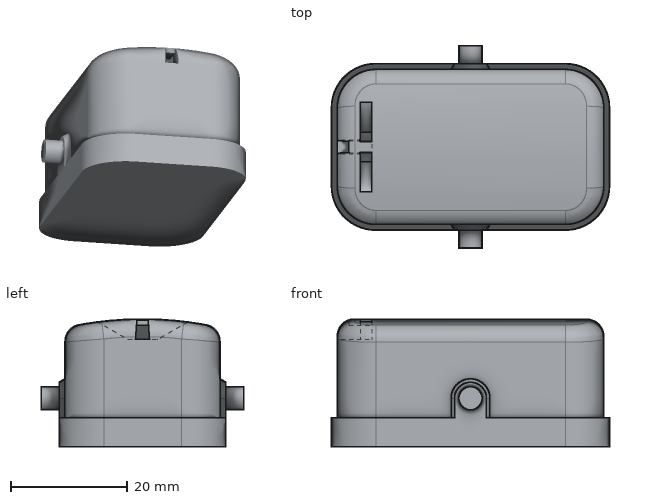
import cadquery as cq
import math

base_length = 47.9
base_width = 28.7
base_height = 5.0

ledge = 1.0
body_length = base_length - 2 * ledge
body_width = base_width - 2 * ledge
body_corner_radius = 6.65
base_corner_radius = body_corner_radius + ledge
body_height = 22.0
crown_radius = 60.0
top_fillet = 3.0

pin_diameter = 4.0
pin_span = 34.9
pin_height = 8.35
pad_root_radius = 3.35
pad_face_radius = 2.75

passage_floor = 18.5
passage_roof = 20.95
slot_outer_x = -19.0
slot_width = 2.0
slot_near_y = 1.0
slot_wall_draft = 4.0
slot_far_y = 7.72
ramp_angle = 30.0

mouth_depth = 2.0
mouth_floor_width = 2.42
mouth_top_width = 1.92


def crown_height(y):
    """Height of the crowned top at a distance y from the middle."""
    return body_height - crown_radius + math.sqrt(crown_radius**2 - y**2)


def rounded_block(length, width, height, corner_radius):
    block = cq.Workplane("XY").box(length, width, height, centered=(True, True, False))
    return block.edges("|Z").fillet(corner_radius)


def make_body():
    crown = (
        cq.Workplane("YZ")
        .center(0, body_height - crown_radius)
        .circle(crown_radius)
        .extrude(body_length / 2, both=True)
    )
    block = rounded_block(body_length, body_width, body_height, body_corner_radius)
    return block.intersect(crown).faces(">Z").edges().fillet(top_fillet)


def make_pin_and_pad():
    """Pin and pad on the -Y side; the pad's foot runs down into the flange."""
    foot = base_height / 2
    taper = math.degrees(math.atan2(pad_root_radius - pad_face_radius, ledge))
    pad = (
        cq.Workplane("XZ", origin=(0, -body_width / 2, 0))
        .moveTo(-pad_root_radius, foot)
        .lineTo(-pad_root_radius, pin_height)
        .threePointArc((0, pin_height + pad_root_radius), (pad_root_radius, pin_height))
        .lineTo(pad_root_radius, foot)
        .close()
        .extrude(ledge, taper=taper)
    )
    pin = (
        cq.Workplane("XZ", origin=(0, -body_width / 2, 0))
        .center(0, pin_height)
        .circle(pin_diameter / 2)
        .extrude((pin_span - body_width) / 2)
    )
    return pad.union(pin)


def make_slot():
    """Slot on the +Y side: a ramp falls from its far end to the floor, the near wall has draft."""
    far_height = crown_height(slot_far_y)
    ramp_foot_y = slot_far_y - (far_height - passage_floor) / math.tan(math.radians(ramp_angle))
    near_top_y = slot_near_y - (body_height - passage_roof) * math.tan(math.radians(slot_wall_draft))
    return (
        cq.Workplane("YZ", origin=(slot_outer_x, 0, 0))
        .moveTo(slot_near_y, passage_floor)
        .lineTo(ramp_foot_y, passage_floor)
        .lineTo(slot_far_y, far_height)
        .lineTo(slot_far_y, body_height)
        .lineTo(near_top_y, body_height)
        .lineTo(slot_near_y, passage_roof)
        .close()
        .extrude(slot_width)
    )


def make_crossing():
    """Passage under the crown that joins the two slots."""
    return cq.Workplane("XY", origin=(slot_outer_x, 0, passage_floor)).box(
        slot_width, 2 * slot_near_y, passage_roof - passage_floor, centered=(False, True, False)
    )


def make_mouth():
    """Notch open to the top at the end wall, running on under the crown to the slots."""
    notch = (
        cq.Workplane("YZ", origin=(-body_length / 2, 0, 0))
        .moveTo(-mouth_floor_width / 2, passage_floor)
        .lineTo(mouth_floor_width / 2, passage_floor)
        .lineTo(mouth_top_width / 2, body_height)
        .lineTo(-mouth_top_width / 2, body_height)
        .close()
        .extrude(slot_outer_x + body_length / 2)
    )
    lip_start = -body_length / 2 + mouth_depth
    lip = cq.Workplane("XY", origin=(lip_start, 0, passage_roof)).box(
        slot_outer_x - lip_start,
        mouth_floor_width,
        body_height - passage_roof,
        centered=(False, True, False),
    )
    return notch.cut(lip)


base = rounded_block(base_length, base_width, base_height, base_corner_radius)
pin_and_pad = make_pin_and_pad()
slot = make_slot()

result = base.union(make_body())
result = result.union(pin_and_pad).union(pin_and_pad.mirror("XZ"))
result = result.cut(slot).cut(slot.mirror("XZ"))
result = result.cut(make_crossing()).cut(make_mouth())